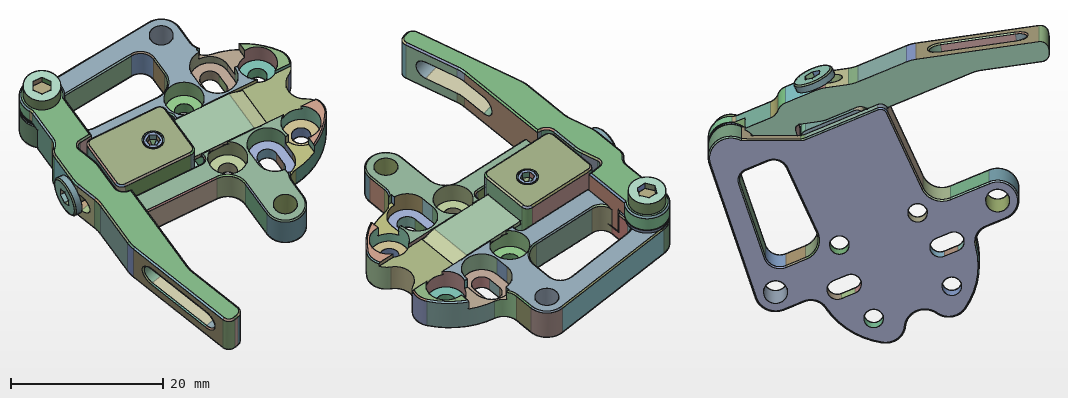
import cadquery as cq
import math


plate_top = 5.0
shelf_top = 1.55
pocket_floor = shelf_top
lever_bottom = shelf_top
lever_top = 8.05
washer_thickness = 0.6
ear_bottom = plate_top + washer_thickness
total_height = 10.05
edge_chamfer = 0.2

dome_radius = 11.05
hump_radius = 2.65
hump_x = 4.55
hump_y = math.sqrt((dome_radius - hump_radius) ** 2 - hump_x**2)
valley_bottom = 7.05
lug_x = 15.95
lug_y = -2.95
lug_radius = 2.8
lug_hole_diameter = 3.15
pivot_x = -13.8
pivot_y = -22.55
pivot_radius = 3.0
leg_x = 7.7
front_y = -21.15
front_bend_x = -4.1
boss_exit_x = 2.35
front_corner_radius = 1.05
front_bend_radius = 1.5
dome_fillet = 2.2
leg_fillet = 2.7

window_front_y = -20.1
lever_gap = 0.1
recess_front_y = -29.55
frame_width = 3.05
window_back_radius = 1.95
window_leg_radius = 1.8
window_arm_radius = 1.5
mount_spacing = 11.25
mount_diameter = 2.55
counterbore_diameter = 5.25
counterbore_floor = 2.0
slot_x = 7.4
slot_travel = 1.95
slot_width = 2.7
slot_counterbore_width = 5.35
side_shelf_z = 3.45
side_shelf_inner_x = 6.55
side_shelf_outer_x = 11.7
side_shelf_front = -0.1
side_shelf_back = 5.22
channel_half_width = 3.35
channel_floor = 4.35
pocket_half_width = 4.65
pocket_back = -8.3
pocket_radius = 0.8
pocket_chamfer = 0.2
pivot_bore_floor = 1.0
boss_land_radius = 3.75

blade_half_width = 3.25
blade_nose_y = 1.9
blade_nose_length = 2.05
blade_end_y = -15.75
blade_top = plate_top

block_half_width = 4.5
block_back = -9.6
block_front = -21.6
block_radius = 1.0
block_chamfer = 0.25
set_screw_y = -13.7
set_screw_diameter = 2.5
set_screw_chamfer = 0.2
set_socket_flats = 1.65
set_socket_depth = 1.0
set_socket_point_depth = 0.55

lever_back_y = window_front_y - lever_gap
lever_front_y = -25.1
lever_bulge_y = -26.2
lever_chamfer = 0.25
ear_fillet = 1.15
ear_clearance_radius = 3.9
ear_clearance_chamfer = 0.25
tip_angle = math.radians(15)
tip_back_x = 20.45
tip_front_x = 13.2
tip_end_x = 30.75
tip_radius = 1.15
bend_radius = 4.95
step_radius = 1.75
step_middle_x = -5.65
bulge_end_x = 0.7
notch_left_x = -4.9
notch_right_x = 5.35
notch_y = -21.9
notch_bend_x = -0.7
notch_corner_x = -4.6
notch_right_corner_x = 5.1
notch_right_radius = 1.3
notch_radius = 0.75
finger_slot_width = 3.05
finger_slot_chamfer = 0.2
finger_slot_left_x = 17.0
finger_slot_right_x = 26.6

shank_diameter = 3.0
pivot_head_diameter = 5.0
pivot_socket_flats = 2.35
washer_diameter = 5.8
side_screw_z = 4.75
side_head_diameter = 5.5
side_head_thickness = 1.1
side_head_chamfer = 0.2
side_socket_flats = 2.05
socket_depth = 1.0
side_screw_tip_y = -18.75
side_slot_width = 3.1
side_slot_travel = 2.0


def rounded_outline(corners):
    """Closed XY outline through (x, y, radius) corners, each rounded by a tangent arc."""
    path = []
    count = len(corners)
    for i, (x, y, radius) in enumerate(corners):
        corner = cq.Vector(x, y)
        before = (cq.Vector(*corners[i - 1][:2]) - corner).normalized()
        after = (cq.Vector(*corners[(i + 1) % count][:2]) - corner).normalized()
        if radius == 0:
            path.append((corner, corner, corner))
            continue
        half_angle = before.getAngle(after) / 2
        setback = radius / math.tan(half_angle)
        bisector = (before + after).normalized()
        middle = corner + bisector * (radius / math.sin(half_angle) - radius)
        path.append((corner + before * setback, middle, corner + after * setback))
    wire = cq.Workplane("XY").moveTo(*path[0][2].toTuple()[:2])
    for start, middle, end in path[1:] + path[:1]:
        wire = wire.lineTo(*start.toTuple()[:2])
        if start is not end:
            wire = wire.threePointArc(middle.toTuple()[:2], end.toTuple()[:2])
    return wire.close()


def box(x0, x1, y0, y1, z0, z1):
    return cq.Workplane("XY").box(x1 - x0, y1 - y0, z1 - z0, centered=False).translate((x0, y0, z0))


def cylinder(x, y, diameter, z0, z1):
    return cq.Workplane("XY", origin=(x, y, z0)).circle(diameter / 2).extrude(z1 - z0)


def slot(x, y, travel, width, z0, z1):
    return cq.Workplane("XY", origin=(x, y, z0)).slot2D(travel + width, width).extrude(z1 - z0)


def vertical_edge_at(x, y):
    reach = 0.05
    return cq.selectors.BoxSelector((x - reach, y - reach, -0.5), (x + reach, y + reach, lever_top + 0.5))


def across_corners(flats):
    """Across-corners size of a hexagon."""
    return flats / math.cos(math.pi / 6)


def dome():
    """Round head of the plate: two humps with a valley between them, all arcs tangent."""
    rise = valley_bottom - hump_y
    valley_radius = (hump_x**2 + rise**2 - hump_radius**2) / (2 * (hump_radius - rise))
    reach = hump_radius / (hump_radius + valley_radius)
    inner_x = hump_x * (1 - reach)
    inner_y = hump_y + (rise + valley_radius) * reach
    outer_scale = dome_radius / (dome_radius - hump_radius)
    outer_x = hump_x * outer_scale
    outer_y = hump_y * outer_scale
    hump_top = (hump_x, hump_y + hump_radius)
    base_x = math.sqrt(dome_radius**2 - lug_y**2)
    return (
        cq.Workplane("XY")
        .moveTo(base_x, lug_y)
        .threePointArc((dome_radius, 0), (outer_x, outer_y))
        .threePointArc(hump_top, (inner_x, inner_y))
        .threePointArc((0, valley_bottom), (-inner_x, inner_y))
        .threePointArc((-hump_top[0], hump_top[1]), (-outer_x, outer_y))
        .threePointArc((-dome_radius, 0), (-base_x, lug_y))
        .close()
        .extrude(plate_top)
    )


def arm_normal():
    """Unit vector square to the plate's left side, which is tangent to the lug and pivot circles."""
    run_x = pivot_x + lug_x
    run_y = pivot_y - lug_y
    length = math.hypot(run_x, run_y)
    lean = math.asin((pivot_radius - lug_radius) / length)
    angle = math.atan2(run_y, run_x) - math.pi / 2 - lean
    return math.cos(angle), math.sin(angle)


def frame():
    """Left arm, front edge and legs, joined to the pivot boss."""
    nx, ny = arm_normal()
    boss_exit_y = math.sqrt(pivot_radius**2 - boss_exit_x**2)
    corners = [
        (-lug_x + lug_radius * nx, lug_y + lug_radius * ny, 0),
        (pivot_x + pivot_radius * nx, pivot_y + pivot_radius * ny, 0),
        (pivot_x, pivot_y, 0),
        (pivot_x + boss_exit_x, pivot_y - boss_exit_y, 0),
        (front_bend_x, front_y, front_bend_radius),
        (leg_x, front_y, front_corner_radius),
        (leg_x, lug_y, 0),
    ]
    return rounded_outline(corners).extrude(plate_top)


def window():
    """Opening between the left arm and the left leg."""
    nx, ny = arm_normal()
    offset = lug_radius - frame_width

    def arm_x(y):
        return -lug_x + (offset - (y - lug_y) * ny) / nx

    back_y = lug_y - lug_radius
    corners = [
        (arm_x(back_y), back_y, window_back_radius),
        (-leg_x, back_y, leg_fillet),
        (-leg_x, window_front_y, window_leg_radius),
        (arm_x(window_front_y), window_front_y, window_arm_radius),
    ]
    return rounded_outline(corners).extrude(plate_top)


def plate_blank():
    blank = dome().union(slot(0, lug_y, 2 * lug_x, 2 * lug_radius, 0, plate_top))
    blank = blank.union(cylinder(pivot_x, pivot_y, 2 * pivot_radius, 0, plate_top)).union(frame())
    lug_back = lug_y + lug_radius
    dome_x = math.sqrt(dome_radius**2 - lug_back**2)
    for side in (-1, 1):
        blank = blank.edges(vertical_edge_at(side * dome_x, lug_back)).fillet(dome_fillet)
    blank = blank.edges(vertical_edge_at(leg_x, lug_y - lug_radius)).fillet(leg_fillet)
    blank = blank.cut(window())
    return blank.faces("<Z or >Z").edges().chamfer(edge_chamfer)


def lever_recess():
    """Space in front of the legs for the lever, leaving the land round the pivot boss standing."""
    recess = box(pivot_x, lug_x, recess_front_y, window_front_y, shelf_top, plate_top)
    return recess.cut(cylinder(pivot_x, pivot_y, 2 * boss_land_radius, 0, plate_top))


def block_pocket():
    """Pocket for the clamp block, open to the front, with a chamfered rim."""
    length = pocket_back - pivot_y
    middle_y = (pocket_back + pivot_y) / 2

    def outline(z, grow):
        half_width = pocket_half_width + grow
        half_length = length / 2 + grow
        radius = pocket_radius + grow
        corners = [
            (-half_width, middle_y - half_length, radius),
            (half_width, middle_y - half_length, radius),
            (half_width, middle_y + half_length, radius),
            (-half_width, middle_y + half_length, radius),
        ]
        return rounded_outline(corners).val().translate(cq.Vector(0, 0, z))

    pit = cq.Workplane(outline(pocket_floor, 0)).toPending().extrude(plate_top - pocket_floor)
    rim = cq.Solid.makeLoft(
        [outline(plate_top - pocket_chamfer, 0), outline(plate_top, pocket_chamfer)], True
    )
    return pit.union(cq.Workplane(rim))


def make_base_plate():
    plate = plate_blank().cut(lever_recess()).cut(block_pocket())
    plate = plate.cut(
        box(-channel_half_width, channel_half_width, pocket_back, dome_radius, channel_floor, plate_top)
    )
    for side in (-1, 1):
        shelf_edges = sorted((side * side_shelf_inner_x, side * side_shelf_outer_x))
        plate = plate.cut(box(*shelf_edges, side_shelf_front, side_shelf_back, side_shelf_z, plate_top))
        plate = plate.cut(slot(side * slot_x, 0, slot_travel, slot_width, 0, plate_top))
        plate = plate.cut(
            slot(side * slot_x, 0, slot_travel, slot_counterbore_width, counterbore_floor, plate_top)
        )
        plate = plate.cut(cylinder(side * lug_x, lug_y, lug_hole_diameter, 0, plate_top))
        for end in (-1, 1):
            x = side * mount_spacing / 2
            y = end * mount_spacing / 2
            plate = plate.cut(cylinder(x, y, mount_diameter, 0, plate_top))
            plate = plate.cut(cylinder(x, y, counterbore_diameter, counterbore_floor, plate_top))
    return plate.cut(cylinder(pivot_x, pivot_y, shank_diameter, pivot_bore_floor, plate_top))


def make_blade():
    """Flat strip with a wedge-shaped nose, lying in the plate's channel."""
    profile = [
        (blade_nose_y, channel_floor),
        (blade_nose_y - blade_nose_length, blade_top),
        (blade_end_y, blade_top),
        (blade_end_y, channel_floor),
    ]
    return cq.Workplane("YZ").polyline(profile).close().extrude(blade_half_width, both=True)


def make_block(blade):
    block = box(-block_half_width, block_half_width, block_front, block_back, pocket_floor, lever_top)
    block = block.edges("|Z").fillet(block_radius).faces(">Z").edges().chamfer(block_chamfer)
    hole = cylinder(0, set_screw_y, set_screw_diameter, blade_top, lever_top)
    rim = cq.Solid.makeCone(
        set_screw_diameter / 2,
        set_screw_diameter / 2 + set_screw_chamfer,
        set_screw_chamfer,
        pnt=cq.Vector(0, set_screw_y, lever_top - set_screw_chamfer),
    )
    return block.cut(blade).cut(hole).cut(cq.Workplane(rim)).cut(side_shank())


def make_set_screw():
    """Headless screw clamping the blade; its hexagon socket ends in a point."""
    screw = cylinder(0, set_screw_y, set_screw_diameter, blade_top, lever_top)
    corners = across_corners(set_socket_flats)
    socket = cq.Workplane("XY", origin=(0, set_screw_y, lever_top)).polygon(6, corners)
    point = cq.Workplane("XY", origin=(0, set_screw_y, lever_top - set_socket_depth)).polygon(6, corners)
    return screw.cut(socket.extrude(-set_socket_depth)).cut(point.extrude(-set_socket_point_depth, taper=45))


def lever_bar():
    slope = math.tan(tip_angle)
    step_half = (lever_front_y - lever_bulge_y) / 2
    tip_front_y = lever_front_y + (tip_end_x - tip_front_x) * slope
    tip_thickness = (lever_back_y - lever_front_y - (tip_back_x - tip_front_x) * slope) * math.cos(tip_angle)
    tip_back = (
        tip_end_x - tip_thickness * math.sin(tip_angle),
        tip_front_y + tip_thickness * math.cos(tip_angle),
    )
    corners = [
        (pivot_x, lever_back_y, 0),
        (pivot_x, lever_front_y, 0),
        (step_middle_x - step_half, lever_front_y, step_radius),
        (step_middle_x + step_half, lever_bulge_y, step_radius),
        (bulge_end_x, lever_bulge_y, bend_radius),
        (bulge_end_x + 2 * step_half / slope, lever_front_y, bend_radius),
        (tip_front_x, lever_front_y, bend_radius),
        (tip_end_x, tip_front_y, tip_radius),
        (*tip_back, tip_radius),
        (tip_back_x, lever_back_y, bend_radius),
        (notch_right_x, lever_back_y, 0),
        (notch_right_corner_x, notch_y, notch_right_radius),
        (notch_bend_x, notch_y, bend_radius),
        (notch_corner_x, notch_y + (notch_corner_x - notch_bend_x) * slope, notch_radius),
        (notch_left_x, lever_back_y, 0),
    ]
    return rounded_outline(corners).extrude(lever_top - lever_bottom).translate((0, 0, lever_bottom))


def finger_slot():
    """Slot through the lever's tip, square to the slanted side, with a chamfered front rim."""
    middle_x = (finger_slot_left_x + finger_slot_right_x) / 2
    middle_y = lever_front_y + (middle_x - tip_front_x) * math.tan(tip_angle)
    length = (finger_slot_right_x - finger_slot_left_x) / math.cos(tip_angle) + finger_slot_width
    face = cq.Plane(
        origin=(middle_x, middle_y, (lever_top + lever_bottom) / 2),
        xDir=(math.cos(tip_angle), math.sin(tip_angle), 0),
        normal=(math.sin(tip_angle), -math.cos(tip_angle), 0),
    )
    depth = lever_back_y - lever_front_y
    through = cq.Workplane(face).slot2D(length, finger_slot_width).extrude(-depth)
    rim = (
        cq.Workplane(face)
        .slot2D(length + 2 * finger_slot_chamfer, finger_slot_width + 2 * finger_slot_chamfer)
        .extrude(-finger_slot_chamfer, taper=45)
    )
    return through.union(rim)


def side_screw_slot():
    """Slot for the side screw, square to the slanted stretch of the lever's front."""
    face = cq.Plane(
        origin=(0, lever_bulge_y, side_screw_z),
        xDir=(math.cos(tip_angle), math.sin(tip_angle), 0),
        normal=(math.sin(tip_angle), -math.cos(tip_angle), 0),
    )
    return (
        cq.Workplane(face)
        .center(side_slot_travel / 2, 0)
        .slot2D(side_slot_travel + side_slot_width, side_slot_width)
        .extrude(lever_back_y - lever_bulge_y, both=True)
    )


def make_lever():
    lever = lever_bar().union(cylinder(pivot_x, pivot_y, 2 * pivot_radius, ear_bottom, lever_top))
    lever = lever.cut(cylinder(pivot_x, pivot_y, 2 * ear_clearance_radius, lever_bottom, ear_bottom))
    step_x = pivot_x + math.sqrt(ear_clearance_radius**2 - (lever_front_y - pivot_y) ** 2)
    lever = lever.edges(vertical_edge_at(step_x, lever_front_y)).chamfer(ear_clearance_chamfer)
    neck_x = pivot_x + math.sqrt(pivot_radius**2 - (lever_front_y - pivot_y) ** 2)
    lever = lever.edges("|Z").edges(vertical_edge_at(neck_x, lever_front_y)).fillet(ear_fillet)
    lever = lever.faces(">Z").edges().chamfer(lever_chamfer)
    lever = lever.cut(cylinder(pivot_x, pivot_y, shank_diameter, ear_bottom, lever_top))
    return lever.cut(side_screw_slot()).cut(finger_slot())


def make_washer():
    washer = cylinder(pivot_x, pivot_y, washer_diameter, plate_top, ear_bottom)
    return washer.cut(cylinder(pivot_x, pivot_y, shank_diameter, plate_top, ear_bottom))


def make_pivot_screw():
    head = cylinder(pivot_x, pivot_y, pivot_head_diameter, lever_top, total_height)
    shank = cylinder(pivot_x, pivot_y, shank_diameter, pivot_bore_floor, lever_top)
    socket = (
        cq.Workplane("XY", origin=(pivot_x, pivot_y, total_height))
        .transformed(rotate=(0, 0, 30))
        .polygon(6, across_corners(pivot_socket_flats))
        .extrude(-socket_depth)
    )
    return head.union(shank).cut(socket)


def side_shank():
    return (
        cq.Workplane("XZ", origin=(0, side_screw_tip_y, side_screw_z))
        .circle(shank_diameter / 2)
        .extrude(side_screw_tip_y - lever_bulge_y)
    )


def make_side_screw():
    head = (
        cq.Workplane("XZ", origin=(0, lever_bulge_y, side_screw_z))
        .circle(side_head_diameter / 2)
        .extrude(side_head_thickness)
        .faces("<Y")
        .chamfer(side_head_chamfer)
    )
    socket = (
        cq.Workplane("XZ", origin=(0, lever_bulge_y - side_head_thickness, side_screw_z))
        .transformed(rotate=(0, 0, 30))
        .polygon(6, across_corners(side_socket_flats))
        .extrude(-socket_depth)
    )
    return head.union(side_shank()).cut(socket)


base_plate = make_base_plate()
blade = make_blade()
block = make_block(blade)
set_screw = make_set_screw()
lever = make_lever()
washer = make_washer()
pivot_screw = make_pivot_screw()
side_screw = make_side_screw()

result = cq.Compound.makeCompound(
    [
        base_plate.val(),
        blade.val(),
        block.val(),
        set_screw.val(),
        lever.val(),
        washer.val(),
        pivot_screw.val(),
        side_screw.val(),
    ]
)